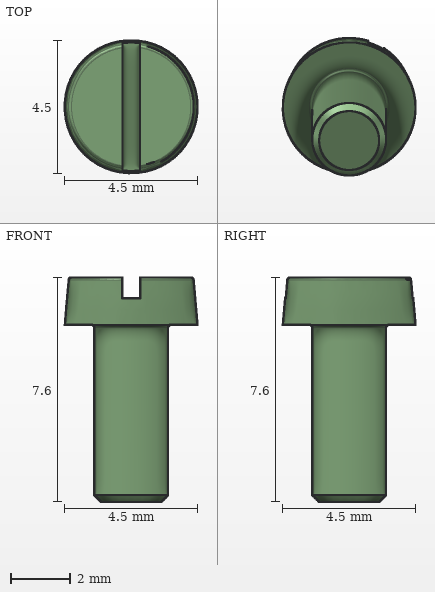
import cadquery as cq
import math

total_length = 7.6
head_diameter = 4.5
head_height = 1.6
head_draft_angle = 5.0
head_edge_radius = 0.1
shank_diameter = 2.5
neck_fillet_radius = 0.1
tip_chamfer_length = 0.235
tip_chamfer_width = 0.235
slot_width = 0.6
slot_depth = 0.7

shank_length = total_length - head_height
head_radius = head_diameter / 2
head_top_radius = head_radius - head_height * math.tan(math.radians(head_draft_angle))
shank_radius = shank_diameter / 2


def make_head():
    """Tapered head seated on Z = 0, with a rounded top edge."""
    profile = (
        cq.Workplane("XZ")
        .lineTo(head_radius, 0)
        .lineTo(head_top_radius, head_height)
        .lineTo(0, head_height)
        .close()
    )
    head = profile.revolve(360, (0, 0, 0), (0, 1, 0))
    return head.faces(">Z").edges().fillet(head_edge_radius)


def make_shank():
    """Plain shank below the head, with a filleted neck and a chamfered tip."""
    neck_radius = shank_radius + neck_fillet_radius
    arc_inset = neck_fillet_radius * math.sqrt(0.5)
    arc_middle = (neck_radius - arc_inset, -neck_fillet_radius + arc_inset)
    profile = (
        cq.Workplane("XZ")
        .lineTo(neck_radius, 0)
        .threePointArc(arc_middle, (shank_radius, -neck_fillet_radius))
        .lineTo(shank_radius, tip_chamfer_length - shank_length)
        .lineTo(shank_radius - tip_chamfer_width, -shank_length)
        .lineTo(0, -shank_length)
        .close()
    )
    return profile.revolve(360, (0, 0, 0), (0, 1, 0))


def make_slot():
    """Driver slot running along Y through the top of the head."""
    return (
        cq.Workplane("XY")
        .workplane(offset=head_height - slot_depth)
        .rect(slot_width, head_diameter)
        .extrude(slot_depth)
    )


result = make_head().union(make_shank()).cut(make_slot())